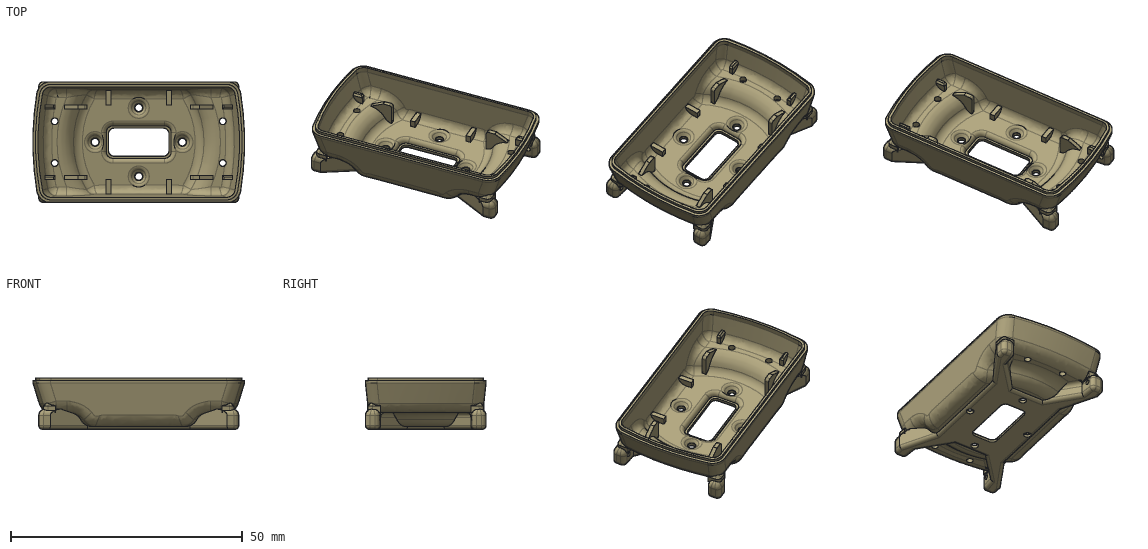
import cadquery as cq
import math

LENGTH = 45.64
WIDTH = 26.0
HEIGHT = 11.1
WALL = 1.1

LIP_HEIGHT = 0.6
LIP_INSET = 0.57
BAND_HEIGHT = 0.55
BAND_TOP = HEIGHT - LIP_HEIGHT
BAND_BOTTOM = BAND_TOP - BAND_HEIGHT

END_BULGE = 1.3
CORNER_RADIUS = 3.0
END_DRAFT = 17.5
SIDE_DRAFT = 6.0

CENTRE_BOTTOM = 0.6
OUTER_RISE = 3.0
INNER_RISE = 3.3
RAMP_AXIS_X = -5.75
RAMP_INNER_RADIUS = 17.9
RAMP_RUN = 5.45
OUTER_FOOT_SHARE = 0.5
INNER_FOOT_SHARE = 0.35
OUTER_FILLET = 2.8
INNER_FILLET = 1.95
BOTTOM_EDGE_MIN_X = 18.0
BOTTOM_EDGE_MIN_Y = 10.0
CENTRE_FLOOR = CENTRE_BOTTOM + WALL
END_BOTTOM = CENTRE_BOTTOM + OUTER_RISE
END_FLOOR = CENTRE_FLOOR + INNER_RISE

FOOT_X = 21.55
FOOT_Y = WIDTH / 2
FOOT_TOP = 4.4
FOOT_INNER_X = 19.04
FOOT_INNER_Y = 10.0
FOOT_CORNER_RADIUS = 1.0
FOOT_TOP_RADIUS = 1.4
NECK_INSET_X = 1.0
NECK_INSET_Y = 0.5
NECK_TOP = 5.8
NECK_CHAMFER = 0.8
WING_BLEND = 1.0
FOOT_BOTTOM_RADIUS = 0.87
WING_START = (17.9, 9.7)
PAD_X = 11.3
PAD_X_HALF_WIDTH = 3.9
PAD_Y = 8.8
PAD_Y_HALF_LENGTH = 11.0
FOOT_HOLE_DIAMETER = 1.0
FOOT_HOLE_X = 19.75
FOOT_HOLE_Z = 2.5
FOOT_HOLE_DEPTH = 2.0

WINDOW_LENGTH = 13.0
WINDOW_WIDTH = 6.0
WINDOW_RADIUS = 1.2
LEDGE = 0.5
RECESS_ROUND = 1.03
RECESS_BOTTOM = CENTRE_FLOOR - RECESS_ROUND

SCREW_DIAMETER = 1.6
SCREW_X = 9.4
SCREW_Y = 7.4
DISH_DIAMETER = 4.54
DISH_ROUND = 1.05
DISH_SEAT_DIAMETER = 1.8
DISH_SLOPE = 45.0
END_HOLE_DIAMETER = 1.4
END_HOLE_X = 18.1
END_HOLE_Y = 4.5

SIDE_RIB_X = 6.5
SIDE_RIB_THICKNESS = 1.05
SIDE_RIB_INNER_Y = 8.0
SIDE_RIB_OUTER_Y = 11.6
SIDE_RIB_TOP = 3.2
SLIM_RIB_Y = 7.6
SLIM_RIB_THICKNESS = 0.9
RAMP_RIB_INNER_X = 11.1
RAMP_RIB_SLOPE_X = 13.1
RAMP_RIB_OUTER_X = 16.0
RAMP_RIB_TOP = 6.5
RAMP_RIB_ROUND = 0.6
END_RIB_INNER_X = 18.0
END_RIB_OUTER_X = 20.8
END_RIB_TOP = 7.0
END_RIB_CHAMFER = 0.4

TOLERANCE = 0.01
THROUGH = 1.0
RIB_ROOT = WALL / 2


def outline(z, inset):
    """Closed wire of the tub at height z: straight sides, bowed ends, round corners."""
    drop = max(BAND_BOTTOM - z, 0)
    half_length = LENGTH / 2 - inset - drop * math.tan(math.radians(END_DRAFT))
    half_width = WIDTH / 2 - inset - drop * math.tan(math.radians(SIDE_DRAFT))
    corner_x = half_length - END_BULGE
    wire = (
        cq.Workplane("XY", origin=(0, 0, z))
        .moveTo(-corner_x, -half_width)
        .lineTo(corner_x, -half_width)
        .threePointArc((half_length, 0), (corner_x, half_width))
        .lineTo(-corner_x, half_width)
        .threePointArc((-half_length, 0), (-corner_x, -half_width))
        .close()
        .val()
    )
    return wire.fillet2D(CORNER_RADIUS - inset, wire.Vertices())


def prism(z, height, inset):
    """Straight-walled block with the tub's outline, standing at height z."""
    face = cq.Face.makeFromWires(outline(z, inset))
    return cq.Workplane(cq.Solid.extrudeLinear(face, cq.Vector(0, 0, height)))


def ramp_cutter(bottom, rise, foot_share):
    """Everything below the raised +X end, outside a ramp made of two tangent arcs."""
    angle = 2 * math.atan2(rise, RAMP_RUN)
    half = angle / 2
    foot_radius = foot_share * RAMP_RUN / math.sin(angle)
    head_radius = (1 - foot_share) * RAMP_RUN / math.sin(angle)
    raised = bottom + rise
    far = LENGTH
    middle = (
        RAMP_INNER_RADIUS + foot_radius * math.sin(angle),
        bottom + foot_radius * (1 - math.cos(angle)),
    )
    end = (middle[0] + head_radius * math.sin(angle), raised)
    foot_mid = (
        RAMP_INNER_RADIUS + foot_radius * math.sin(half),
        bottom + foot_radius * (1 - math.cos(half)),
    )
    head_mid = (
        end[0] - head_radius * math.sin(half),
        raised - head_radius * (1 - math.cos(half)),
    )
    below = bottom - THROUGH
    profile = (
        cq.Workplane("XZ")
        .moveTo(RAMP_INNER_RADIUS, bottom)
        .threePointArc(foot_mid, middle)
        .threePointArc(head_mid, end)
        .lineTo(far, raised)
        .lineTo(far, below)
        .lineTo(RAMP_INNER_RADIUS, below)
        .close()
    )
    ring = profile.revolve(180, (0, 0, 0), (0, 1, 0))
    return ring.rotate((0, 0, 0), (0, 0, 1), -90).translate((RAMP_AXIS_X, 0, 0))


def tub(inset, bottom, rise, foot_share, fillet):
    """Drafted block with raised ends and a rolled bottom edge."""
    loft = cq.Solid.makeLoft([outline(bottom, inset), outline(BAND_BOTTOM, inset)], True)
    cutter = ramp_cutter(bottom, rise, foot_share)
    body = cq.Workplane(loft).cut(cutter).cut(cutter.mirror("YZ"))
    top_limit = bottom + rise + TOLERANCE
    bottom_edges = [
        edge
        for edge in body.edges().vals()
        if edge.BoundingBox().zmax < top_limit
        and (abs(edge.Center().x) > BOTTOM_EDGE_MIN_X or abs(edge.Center().y) > BOTTOM_EDGE_MIN_Y)
    ]
    return body.newObject(bottom_edges).fillet(fillet)


def on_corners(shape):
    """The shape in the +X +Y quarter together with its three mirror images."""
    pair = shape.union(shape.mirror("YZ"))
    return pair.union(pair.mirror("XZ"))


def pad_with_feet():
    """Central pad with a wing running out to a rounded post at each corner."""
    plan = [
        (0, 0),
        (PAD_X, 0),
        (PAD_X, PAD_X_HALF_WIDTH),
        WING_START,
        (FOOT_X, FOOT_INNER_Y),
        (FOOT_X, FOOT_Y),
        (FOOT_INNER_X, FOOT_Y),
        (PAD_Y_HALF_LENGTH, PAD_Y),
        (0, PAD_Y),
    ]
    post = cq.selectors.BoxSelector(
        (FOOT_X - FOOT_CORNER_RADIUS, 0, 0), (FOOT_X + FOOT_CORNER_RADIUS, WIDTH, FOOT_TOP)
    )
    quarter = cq.Workplane("XY").polyline(plan).close().extrude(FOOT_TOP)
    quarter = quarter.edges("|Z").edges(post).fillet(FOOT_CORNER_RADIUS)
    feet = on_corners(quarter).clean().edges("<Z").fillet(FOOT_BOTTOM_RADIUS)
    post_top = [
        edge
        for edge in feet.edges(">Z").vals()
        if abs(edge.Center().x) > WING_START[0] and abs(edge.Center().y) > WING_START[1]
    ]
    return feet.newObject(post_top).fillet(FOOT_TOP_RADIUS)


def neck():
    """Chamfered block that fills the notch between a post and the wall above it."""
    block = cq.Workplane("XY").box(
        FOOT_X - NECK_INSET_X - WING_START[0],
        FOOT_Y - NECK_INSET_Y - WING_START[1],
        NECK_TOP - END_BOTTOM,
        centered=False,
    )
    block = block.edges("|Z and >X and >Y").fillet(FOOT_CORNER_RADIUS)
    block = block.faces(">Z").chamfer(NECK_CHAMFER)
    return block.translate((*WING_START, END_BOTTOM))


def wing_blend():
    """Concave blend between the raised underside and the inner face of a wing."""
    run_x = PAD_X - WING_START[0]
    run_y = PAD_X_HALF_WIDTH - WING_START[1]
    plane = cq.Plane(
        origin=(*WING_START, END_BOTTOM), xDir=(-run_y, run_x, 0), normal=(run_x, run_y, 0)
    )
    bow = WING_BLEND * (1 - math.sqrt(0.5))
    section = (
        cq.Workplane(plane)
        .lineTo(WING_BLEND, 0)
        .threePointArc((bow, -bow), (0, -WING_BLEND))
        .close()
    )
    return section.extrude(math.hypot(run_x, run_y))


def foot_hole():
    """Blind hole in the inner face of a post."""
    hole = cq.Workplane("XZ", origin=(FOOT_HOLE_X, FOOT_INNER_Y + FOOT_HOLE_DEPTH, FOOT_HOLE_Z))
    return hole.circle(FOOT_HOLE_DIAMETER / 2).extrude(2 * FOOT_HOLE_DEPTH)


def rounded_block(length, width, radius, bottom, top):
    """Centred block with rounded upright edges."""
    block = cq.Workplane("XY", origin=(0, 0, bottom)).rect(length, width).extrude(top - bottom)
    return block.edges("|Z").fillet(radius)


def window_cutter():
    """Window, the ledge around it and the rounded edge up to the centre floor."""
    recess_length = WINDOW_LENGTH + 2 * LEDGE
    recess_width = WINDOW_WIDTH + 2 * LEDGE
    recess_radius = WINDOW_RADIUS + LEDGE / 2
    window = rounded_block(WINDOW_LENGTH, WINDOW_WIDTH, WINDOW_RADIUS, -THROUGH, CENTRE_FLOOR)
    blank = cq.Workplane("XY", origin=(0, 0, RECESS_BOTTOM - THROUGH)).rect(LENGTH, WIDTH)
    blank = blank.extrude(RECESS_ROUND + THROUGH)
    recess = rounded_block(recess_length, recess_width, recess_radius, RECESS_BOTTOM, CENTRE_FLOOR)
    top_rim = cq.selectors.BoxSelector(
        (-recess_length, -recess_width, 0), (recess_length, recess_width, HEIGHT)
    )
    rounded_floor = blank.cut(recess).faces(">Z").edges(top_rim).fillet(RECESS_ROUND - TOLERANCE)
    return blank.cut(rounded_floor).union(window)


def screw_cutter():
    """Screw hole with a conical seat that rounds over into the centre floor."""
    corner = math.radians(DISH_SLOPE)
    seat = DISH_SEAT_DIAMETER / 2
    cone_top = DISH_DIAMETER / 2 - DISH_ROUND * math.sin(corner)
    cone_top_z = CENTRE_FLOOR - DISH_ROUND * (1 - math.cos(corner))
    arc_middle = (
        DISH_DIAMETER / 2 - DISH_ROUND * math.sin(corner / 2),
        CENTRE_FLOOR - DISH_ROUND * (1 - math.cos(corner / 2)),
    )
    seat_z = cone_top_z - (cone_top - seat) * math.tan(corner)
    profile = (
        cq.Workplane("XZ")
        .moveTo(0, -THROUGH)
        .lineTo(SCREW_DIAMETER / 2, -THROUGH)
        .lineTo(SCREW_DIAMETER / 2, seat_z)
        .lineTo(seat, seat_z)
        .lineTo(cone_top, cone_top_z)
        .threePointArc(arc_middle, (DISH_DIAMETER / 2, CENTRE_FLOOR))
        .lineTo(DISH_DIAMETER / 2, CENTRE_FLOOR + DISH_ROUND)
        .lineTo(0, CENTRE_FLOOR + DISH_ROUND)
        .close()
    )
    return profile.revolve(360, (0, 0, 0), (0, 1, 0))


def end_hole():
    """Cutter for the plain hole through the raised end."""
    hole = cq.Workplane("XY", origin=(END_HOLE_X, END_HOLE_Y, 0))
    return hole.circle(END_HOLE_DIAMETER / 2).extrude(HEIGHT)


def side_rib():
    """Rib across the rounded edge of the centre floor."""
    size_y = SIDE_RIB_OUTER_Y - SIDE_RIB_INNER_Y
    bottom = CENTRE_FLOOR - RIB_ROOT
    rib = cq.Workplane("XY", origin=(SIDE_RIB_X, SIDE_RIB_INNER_Y + size_y / 2, bottom))
    return rib.rect(SIDE_RIB_THICKNESS, size_y).extrude(SIDE_RIB_TOP - bottom)


def ramp_rib():
    """Rib standing on the ramp, sloping down to the raised floor."""
    rib = (
        cq.Workplane("XZ", origin=(0, SLIM_RIB_Y + SLIM_RIB_THICKNESS / 2, 0))
        .moveTo(RAMP_RIB_INNER_X, RAMP_RIB_TOP)
        .lineTo(RAMP_RIB_SLOPE_X, RAMP_RIB_TOP)
        .lineTo(RAMP_RIB_OUTER_X, END_FLOOR)
        .lineTo(RAMP_RIB_OUTER_X, END_FLOOR - RIB_ROOT)
        .lineTo(RAMP_RIB_SLOPE_X, CENTRE_FLOOR - RIB_ROOT)
        .lineTo(RAMP_RIB_INNER_X, CENTRE_FLOOR - RIB_ROOT)
        .close()
        .extrude(SLIM_RIB_THICKNESS)
    )
    return rib.edges("|Y and <X and >Z").fillet(RAMP_RIB_ROUND)


def end_rib():
    """Rib against the end wall with its two free top edges chamfered."""
    size_x = END_RIB_OUTER_X - END_RIB_INNER_X
    bottom = END_FLOOR - RIB_ROOT
    rib = cq.Workplane("XY", origin=(END_RIB_INNER_X + size_x / 2, SLIM_RIB_Y, bottom))
    rib = rib.rect(size_x, SLIM_RIB_THICKNESS).extrude(END_RIB_TOP - bottom)
    return rib.faces(">Z").edges("<X or <Y").chamfer(END_RIB_CHAMFER)


def ribs():
    """All ribs, four of each kind."""
    quarter = side_rib().union(ramp_rib()).union(end_rib())
    return on_corners(quarter)


def screw_holes():
    """Cutters for the four screw holes, two on each axis."""
    hole = screw_cutter()
    holes = cq.Workplane()
    for side in (1, -1):
        holes.add(hole.translate((side * SCREW_X, 0, 0)))
        holes.add(hole.translate((0, side * SCREW_Y, 0)))
    return holes.combine()


outer = tub(0, CENTRE_BOTTOM, OUTER_RISE, OUTER_FOOT_SHARE, OUTER_FILLET)
inner = tub(WALL, CENTRE_FLOOR, INNER_RISE, INNER_FOOT_SHARE, INNER_FILLET)
cavity = inner.union(prism(BAND_BOTTOM, HEIGHT, WALL))

foot_details = on_corners(neck().union(wing_blend()))
feet = pad_with_feet().union(foot_details).cut(on_corners(foot_hole()))
tub_block = outer.union(prism(BAND_BOTTOM, BAND_HEIGHT, 0)).union(prism(BAND_TOP, LIP_HEIGHT, LIP_INSET))

cavity = cavity.cut(ribs())

shell = tub_block.union(feet, clean=False).cut(cavity, clean=False)
shell = shell.cut(window_cutter(), clean=False).cut(on_corners(end_hole()), clean=False)
result = shell.cut(screw_holes(), clean=False)